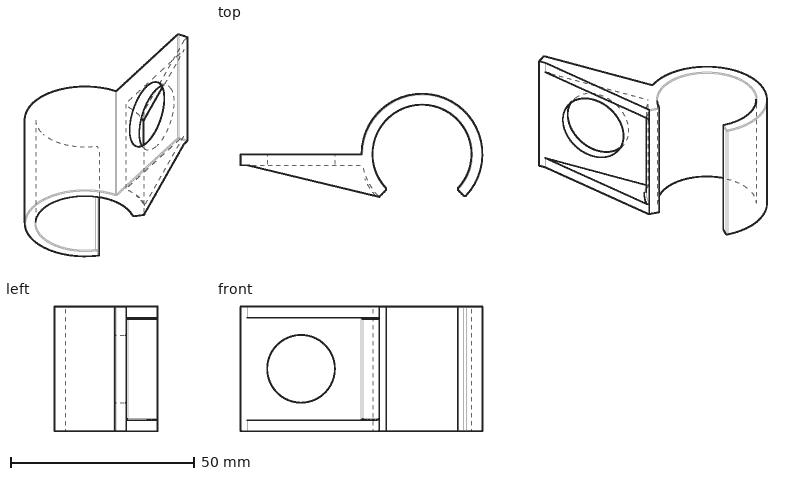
import cadquery as cq
import math

height = 34.04
outer_radius = 16.51
wall = 3.05
inner_radius = outer_radius - wall
overall_length = 65.99
plate_left = outer_radius - overall_length
plate_thickness = 3.05
plate_flat = 1.9
rib_thickness = 3.05
hole_diameter = 18.4
hole_edge_distance = 16.51
hole_x = plate_left + hole_edge_distance
lip_angle = 45
rim_radius = 0.25
lip_radius = 0.5
pocket_radius = 0.5

half_height = height / 2
touch_tolerance = 0.01


def polar(radius, degrees):
    angle = math.radians(degrees)
    return (radius * math.cos(angle), radius * math.sin(angle))


left_lip = 180 + lip_angle
right_lip = -lip_angle
left_lip_tip = polar(outer_radius, left_lip)


def make_clip_ring():
    """C-shaped clip, open toward -Y, with radial lip faces."""
    return (
        cq.Workplane("XY", origin=(0, 0, -half_height))
        .moveTo(*polar(outer_radius, right_lip))
        .threePointArc((0, outer_radius), left_lip_tip)
        .lineTo(*polar(inner_radius, left_lip))
        .threePointArc((0, inner_radius), polar(inner_radius, right_lip))
        .close()
        .extrude(height)
    )


def make_arm():
    """Tapered arm from the plate end to the tip of the left lip."""
    return (
        cq.Workplane("XY", origin=(0, 0, -half_height))
        .moveTo(-outer_radius, 0)
        .lineTo(plate_left, 0)
        .lineTo(plate_left, -plate_thickness)
        .lineTo(plate_left + plate_flat, -plate_thickness)
        .lineTo(*left_lip_tip)
        .threePointArc(polar(outer_radius, 180 + lip_angle / 2), (-outer_radius, 0))
        .close()
        .extrude(height)
    )


def make_pocket():
    """Space between the two ribs, bounded by the plate and the clip ring."""
    pocket_height = height - 2 * rib_thickness
    block = (
        cq.Workplane("XY")
        .box(-plate_left, outer_radius, pocket_height, centered=(False, False, True))
        .translate((plate_left, -plate_thickness - outer_radius, 0))
    )
    ring_core = cq.Workplane("XY").circle(outer_radius).extrude(half_height, both=True)
    return block.cut(ring_core)


def make_hole():
    """Screw hole through the plate."""
    return (
        cq.Workplane("XZ", origin=(hole_x, 0, 0))
        .circle(hole_diameter / 2)
        .extrude(plate_thickness)
    )


def edges_near(solid, points):
    """Edges of the solid that pass through any of the given points."""
    found = []
    for point in points:
        vertex = cq.Vertex.makeVertex(*point)
        found += [edge for edge in solid.Edges() if edge.distance(vertex) < touch_tolerance]
    return found


def fillet_near(body, radius, points):
    """Fillet the edges passing through the given points, with their tangent edges."""
    solid = body.val()
    return cq.Workplane(solid.fillet(radius, edges_near(solid, points)))


def round_pocket(body):
    """Fillet the ring side of the pocket against the plate and both ribs."""
    pocket_half_height = half_height - rib_thickness
    corner_x = -math.sqrt(outer_radius**2 - plate_thickness**2)
    rib_corner = polar(outer_radius, 180 + lip_angle / 2)
    points = [
        (corner_x, -plate_thickness, 0),
        (*rib_corner, pocket_half_height),
        (*rib_corner, -pocket_half_height),
    ]
    return fillet_near(body, pocket_radius, points)


def round_lips(body):
    """Round the lip edges that run along the clip axis."""
    points = [
        (*polar(inner_radius, left_lip), 0),
        (*polar(inner_radius, right_lip), 0),
        (*polar(outer_radius, right_lip), 0),
    ]
    return fillet_near(body, lip_radius, points)


def round_arm_corner(body):
    """Fill the concave corner where the back of the plate meets the ring."""
    return fillet_near(body, rim_radius, [(-outer_radius, 0, 0)])


def round_rims(body):
    """Round the top and bottom rims of the ring, the lips and the back of the plate."""
    rim_points = [(0, outer_radius), (hole_x, 0)]
    points = [(x, y, z) for x, y in rim_points for z in (half_height, -half_height)]
    return fillet_near(body, rim_radius, points)


def round_plate_end(body):
    """Round the back edge at the free end of the plate."""
    return fillet_near(body, rim_radius, [(plate_left, 0, 0)])


body = make_clip_ring().union(make_arm())
body = body.cut(make_pocket()).cut(make_hole())
body = round_pocket(body)
body = round_lips(body)
body = round_arm_corner(body)
body = round_rims(body)
result = round_plate_end(body).solids()